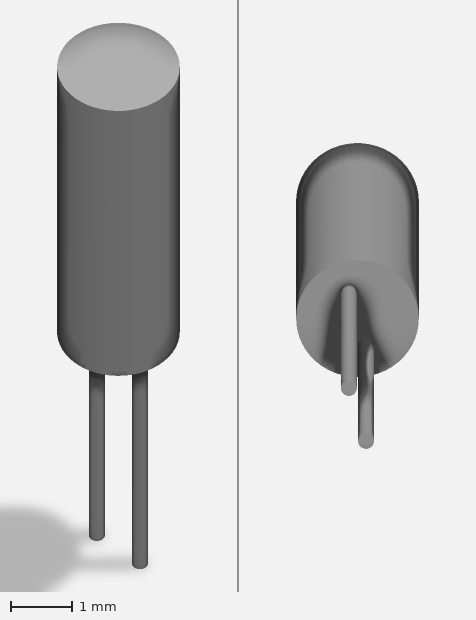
import cadquery as cq

total_height = 11.3
can_diameter = 2.0
can_height = 6.2
lead_diameter = 0.26
lead_spacing = 0.95

lead_length = total_height - can_height


def make_can():
    """Plain cylindrical can with its flat underside at Z = 0."""
    return cq.Workplane("XY").circle(can_diameter / 2).extrude(can_height)


def make_lead(x):
    """Straight round lead hanging from the underside of the can."""
    return cq.Workplane("XY").center(x, 0).circle(lead_diameter / 2).extrude(-lead_length)


can = make_can()
leads = [make_lead(side * lead_spacing / 2) for side in (-1, 1)]

result = cq.Compound.makeCompound([can.val(), *[lead.val() for lead in leads]])